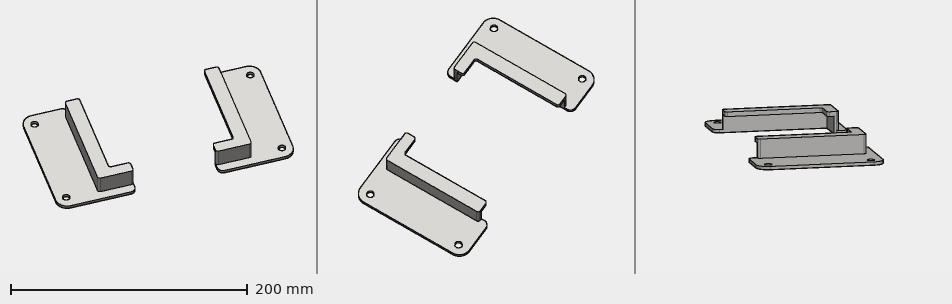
import cadquery as cq

overall_width = 110.0
overall_depth = 210.0
overall_height = 19.5

plate_thickness = 3.0
plate_outer_radius = 10.0
plate_inner_radius = 5.0

hole_diameter = 6.3
hole_side_inset = 10.5
hole_back_inset = 9.5

wall_side_inset = 8.0
wall_back_inset = 37.0
wall_thickness = 4.0
lip_thickness = 4.0
lip_arm_width = 12.8
lip_leg_width = 10.0

corner_radius = 2.0

bracket_depth = 68.5

plate_left = -overall_width / 2
plate_right = overall_width / 2
back = overall_depth / 2
inner_end = back - bracket_depth
wall_left = plate_left + wall_side_inset
wall_right = plate_right - wall_side_inset
wall_back = back - wall_back_inset
wall_inner_x = wall_right - wall_thickness
wall_inner_y = wall_back - wall_thickness
lip_inner_x = wall_right - lip_leg_width
lip_inner_y = wall_back - lip_arm_width


def ell(left, right, rear, front, inner_x, inner_y, base_z, height):
    """L-shaped prism: an arm along X at the rear and a leg along Y on the right."""
    outline = [
        (left, rear),
        (right, rear),
        (right, front),
        (inner_x, front),
        (inner_x, inner_y),
        (left, inner_y),
    ]
    return cq.Workplane("XY").workplane(offset=base_z).polyline(outline).close().extrude(height)


def round_corner(solid, x, y, radius):
    """Round the vertical edge that stands at (x, y)."""
    return solid.edges("|Z").edges(cq.selectors.NearestToPointSelector((x, y, 0))).fillet(radius)


def base_plate():
    """Flat plate whose inner edges follow the inner faces of the wall."""
    plate = ell(
        plate_left, plate_right, back, inner_end, wall_inner_x, wall_inner_y, 0, plate_thickness
    )
    plate = round_corner(plate, plate_left, back, plate_outer_radius)
    plate = round_corner(plate, plate_right, back, plate_outer_radius)
    plate = round_corner(plate, plate_left, wall_inner_y, plate_inner_radius)
    return round_corner(plate, plate_right, inner_end, plate_inner_radius)


def upright_wall():
    """Thin L-shaped wall from the underside of the plate to the top."""
    wall = ell(
        wall_left, wall_right, wall_back, inner_end, wall_inner_x, wall_inner_y, 0, overall_height
    )
    wall = round_corner(wall, wall_left, wall_back, corner_radius)
    wall = round_corner(wall, wall_right, wall_back, corner_radius)
    return round_corner(wall, wall_right, inner_end, corner_radius)


def top_lip():
    """L-shaped lip that overhangs the inner side of the wall."""
    lip = ell(
        wall_left,
        wall_right,
        wall_back,
        inner_end,
        lip_inner_x,
        lip_inner_y,
        overall_height - lip_thickness,
        lip_thickness,
    )
    rounded_corners = [
        (wall_left, wall_back),
        (wall_right, wall_back),
        (wall_right, inner_end),
        (wall_left, lip_inner_y),
        (lip_inner_x, lip_inner_y),
        (lip_inner_x, inner_end),
    ]
    for x, y in rounded_corners:
        lip = round_corner(lip, x, y, corner_radius)
    return lip


def mounting_holes():
    """Cutters for the two through holes near the back corners of the plate."""
    hole_y = back - hole_back_inset
    centres = [(plate_left + hole_side_inset, hole_y), (plate_right - hole_side_inset, hole_y)]
    return cq.Workplane("XY").pushPoints(centres).circle(hole_diameter / 2).extrude(plate_thickness)


def corner_bracket(mirrored):
    """One complete bracket at +Y, or its mirror image at -Y."""
    bracket = base_plate().union(upright_wall()).union(top_lip()).cut(mounting_holes())
    if mirrored:
        bracket = bracket.mirror("XZ")
    return bracket


brackets = []
for mirrored in (False, True):
    brackets.append(corner_bracket(mirrored).val())

result = cq.Compound.makeCompound(brackets)